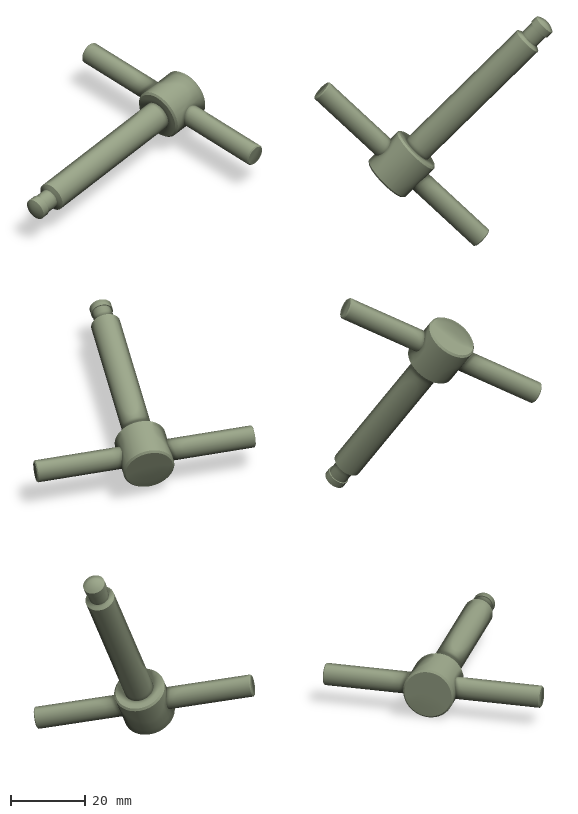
import math

import cadquery as cq

head_diameter = 14.0
head_length = 12.0
head_chamfer = 0.5

spindle_length = 50.0
shaft_diameter = 8.0
shaft_straight_length = 42.5
shaft_cone_angle = 30.0
neck_diameter = 5.4
tip_diameter = 6.0
tip_length = 3.0
tip_dome_radius = 5.0

handle_diameter = 6.0
handle_length = 60.0
handle_chamfer = 0.3


def make_head():
    head = cq.Workplane("XZ").circle(head_diameter / 2).extrude(-head_length)
    return head.edges().chamfer(head_chamfer)


def make_spindle():
    """Shaft, cone, neck and domed tip, revolved as one profile about the Y axis."""
    shaft_radius = shaft_diameter / 2
    neck_radius = neck_diameter / 2
    tip_radius = tip_diameter / 2

    cone_length = (shaft_radius - neck_radius) * math.tan(math.radians(shaft_cone_angle))
    cone_start = -shaft_straight_length
    neck_start = cone_start - cone_length
    tip_start = -(spindle_length - tip_length)

    dome_center = tip_dome_radius - spindle_length
    cap_angle = math.asin(tip_radius / tip_dome_radius)
    dome_start = dome_center - tip_dome_radius * math.cos(cap_angle)
    dome_middle = (
        tip_dome_radius * math.sin(cap_angle / 2),
        dome_center - tip_dome_radius * math.cos(cap_angle / 2),
    )

    profile = (
        cq.Workplane("XY")
        .moveTo(0, 0)
        .lineTo(shaft_radius, 0)
        .lineTo(shaft_radius, cone_start)
        .lineTo(neck_radius, neck_start)
        .lineTo(neck_radius, tip_start)
        .lineTo(tip_radius, tip_start)
        .lineTo(tip_radius, dome_start)
        .threePointArc(dome_middle, (0, -spindle_length))
        .close()
    )
    return profile.revolve(360, (0, 0, 0), (0, 1, 0))


def make_handle():
    bar_plane = cq.Workplane("YZ", origin=(-handle_length / 2, head_length / 2, 0))
    bar = bar_plane.circle(handle_diameter / 2).extrude(handle_length)
    return bar.edges("%CIRCLE").chamfer(handle_chamfer)


result = make_head().union(make_spindle()).union(make_handle())